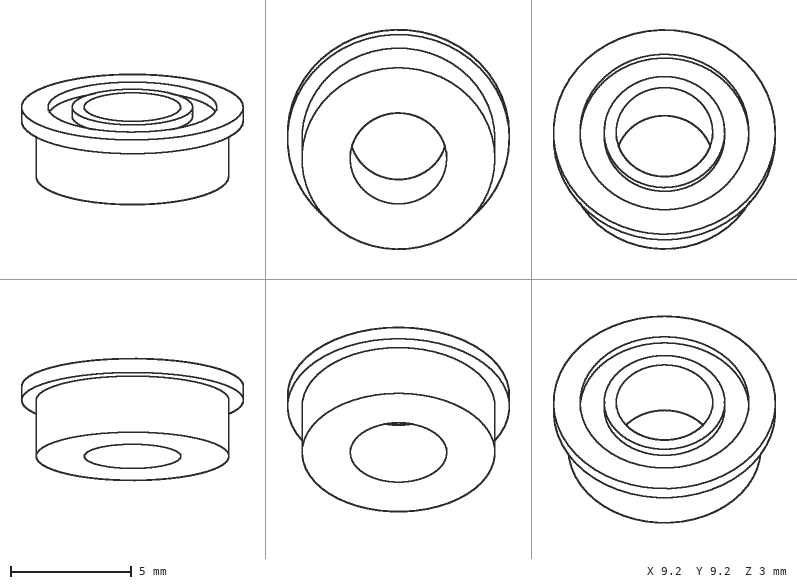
import cadquery as cq

bore_diameter = 4.0
inner_ring_diameter = 5.0
outer_ring_inner_diameter = 7.0
body_diameter = 8.0
flange_diameter = 9.2

total_height = 3.0
flange_thickness = 0.6
shield_recess_depth = 0.4


def disc(diameter, bottom, height):
    """Solid disc on the Z axis, starting at the given bottom height."""
    return cq.Workplane("XY").workplane(offset=bottom).circle(diameter / 2).extrude(height)


def bearing_envelope():
    """Cylindrical body with the flange flush with the top face."""
    body = disc(body_diameter, 0, total_height)
    flange = disc(flange_diameter, total_height - flange_thickness, flange_thickness)
    return body.union(flange)


def shield_recess():
    """Annular recess in the top face, between the inner and outer rings."""
    return (
        cq.Workplane("XY")
        .workplane(offset=total_height - shield_recess_depth)
        .circle(outer_ring_inner_diameter / 2)
        .circle(inner_ring_diameter / 2)
        .extrude(shield_recess_depth)
    )


bore = disc(bore_diameter, 0, total_height)

result = bearing_envelope().cut(shield_recess()).cut(bore)